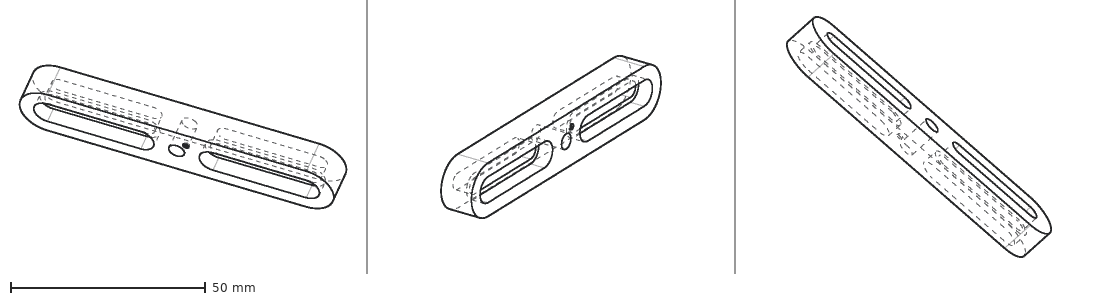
import cadquery as cq
import math

INCH = 25.4

bar_length = 3.4 * INCH
bar_height = 0.6 * INCH
bar_thickness = 0.375 * INCH

slot_inner_center = 0.39 * INCH
slot_outer_center = (bar_length - bar_height) / 2
slot_travel = slot_outer_center - slot_inner_center
slot_offset = (slot_inner_center + slot_outer_center) / 2
through_width = 0.182 * INCH
recess_width = 0.29 * INCH
recess_depth = 0.17 * INCH

center_hole_diameter = 0.17 * INCH

pin_diameter = 0.0625 * INCH
pin_x = 0.1 * INCH
pin_z = 0.125 * INCH
pin_depth = 0.02 * INCH
drill_tip_angle = 118


def front_plane(x=0):
    """Workplane on the front face (Y = 0) whose normal points into the bar (+Y)."""
    return cq.Workplane(cq.Plane(origin=(x, 0, 0), xDir=(1, 0, 0), normal=(0, 1, 0)))


def slot_body(x, travel, width, depth):
    """Round-ended prism running from the front face into the bar."""
    return front_plane(x).slot2D(travel + width, width).extrude(depth)


def center_hole():
    """Cutter for the plain hole through the middle of the bar."""
    return front_plane().circle(center_hole_diameter / 2).extrude(bar_thickness)


def stepped_slot(x):
    """Through slot with a wider recess open to the front face."""
    through = slot_body(x, slot_travel, through_width, bar_thickness)
    recess = slot_body(x, slot_travel, recess_width, recess_depth)
    return through.union(recess)


def pin_hole():
    """Cutter for a straight hole that ends in the cone left by a drill."""
    radius = pin_diameter / 2
    tip_length = radius / math.tan(math.radians(drill_tip_angle / 2))
    profile = [
        (0, 0),
        (radius, 0),
        (radius, pin_depth),
        (0, pin_depth + tip_length),
    ]
    drill = cq.Workplane("XY").polyline(profile).close().revolve(360, (0, 0, 0), (0, 1, 0))
    return drill.translate((pin_x, 0, pin_z))


bar = slot_body(0, bar_length - bar_height, bar_height, bar_thickness)
for side in (-1, 1):
    bar = bar.cut(stepped_slot(side * slot_offset))
bar = bar.cut(center_hole())
result = bar.cut(pin_hole())